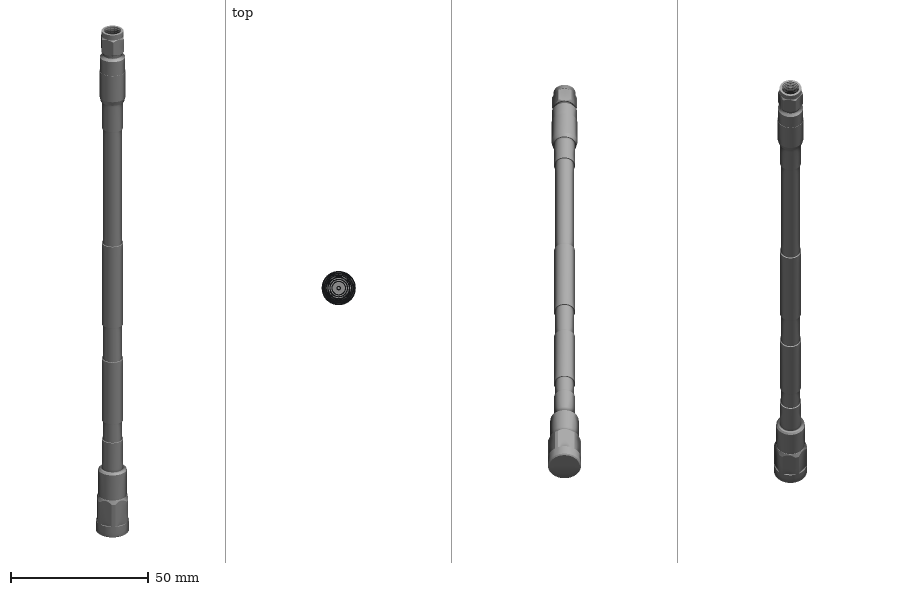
import cadquery as cq

TOTAL_LENGTH = 204.3

CABLE_DIAMETER = 7.0
SLEEVE_DIAMETER = 7.8
LOWER_SLEEVE_BOTTOM = 45.4
LOWER_SLEEVE_TOP = 70.5
UPPER_SLEEVE_BOTTOM = 84.5
UPPER_SLEEVE_TOP = 117.7

NUT_DIAMETER = 12.0
NUT_FLATS = 11.0
NUT_COLLAR_TOP = 4.5
NUT_CHAMFER = 0.5
NUT_HEX_TOP = 13.5
NUT_TOP = 15.0
NUT_TOP_DIAMETER = 10.6
LOWER_BARREL_DIAMETER = 10.5
LOWER_BARREL_TOP = 25.7
LOWER_BARREL_CHAMFER = 0.6
LOWER_BOOT_TOP = 37.5

UPPER_BOOT_BOTTOM = 164.7
UPPER_BARREL_DIAMETER = 9.5
UPPER_BARREL_BOTTOM = 175.7
UPPER_BARREL_END_DIAMETER = 8.5
UPPER_BARREL_TAPER_TOP = 177.4
UPPER_BARREL_SHOULDER = 188.0
UPPER_BARREL_TOP = 194.5
UPPER_COLLAR_DIAMETER = 9.2
UPPER_COLLAR_END_DIAMETER = 7.2
UPPER_COLLAR_TAPER_BOTTOM = 193.7
UPPER_NECK_DIAMETER = 7.0
UPPER_HEX_BOTTOM = 195.7
UPPER_HEX_TOP = 202.3
UPPER_HEX_FLATS = 8.0
UPPER_HEX_CORNERS = 9.0
UPPER_HEX_CHAMFER = 0.6
UPPER_RIM_DIAMETER = 8.0

SOCKET_DIAMETER = 6.3
SOCKET_DEPTH = 6.5
THREAD_ROOT_DIAMETER = 7.0
THREAD_PITCH = 0.8
THREAD_GROOVE_WIDTH = THREAD_PITCH / 2
THREAD_GROOVES = 6
INSULATOR_DIAMETER = 5.0
INSULATOR_HEIGHT = 0.8
PIN_DIAMETER = 1.2
PIN_HEIGHT = 1.6


def cylinder(diameter, bottom, top):
    """Round bar along Z between two heights."""
    return cq.Workplane("XY").workplane(offset=bottom).circle(diameter / 2).extrude(top - bottom)


def cone(bottom_diameter, top_diameter, bottom, top):
    """Tapered round section along Z between two heights."""
    solid = cq.Solid.makeCone(bottom_diameter / 2, top_diameter / 2, top - bottom, cq.Vector(0, 0, bottom))
    return cq.Workplane("XY").add(solid)


def hexagon(across_flats, bottom, top):
    """Hexagonal bar along Z with one pair of flats facing -X and +X."""
    return (
        cq.Workplane("XY")
        .workplane(offset=bottom)
        .polygon(6, across_flats, circumscribed=True)
        .extrude(top - bottom)
    )


def make_cable():
    """Cable running through both boots and ending against the two barrels."""
    return cylinder(CABLE_DIAMETER, LOWER_BARREL_TOP, UPPER_BARREL_BOTTOM)


def make_sleeve(bottom, top):
    """Tube around the cable."""
    return cylinder(SLEEVE_DIAMETER, bottom, top).cut(cylinder(CABLE_DIAMETER, bottom, top))


def make_lower_connector():
    """Boot, barrel and a coupling nut whose hexagon is rounded to the collar diameter."""
    collar = cylinder(NUT_DIAMETER, 0, NUT_COLLAR_TOP).faces("<Z").chamfer(NUT_CHAMFER)
    nut_round = cylinder(NUT_DIAMETER, NUT_COLLAR_TOP, NUT_HEX_TOP).union(
        cone(NUT_DIAMETER, NUT_TOP_DIAMETER, NUT_HEX_TOP, NUT_TOP)
    )
    nut = hexagon(NUT_FLATS, NUT_COLLAR_TOP, NUT_TOP).intersect(nut_round)
    barrel = cylinder(LOWER_BARREL_DIAMETER, NUT_TOP, LOWER_BARREL_TOP)
    barrel = barrel.faces(">Z").chamfer(LOWER_BARREL_CHAMFER)
    boot = make_sleeve(LOWER_BARREL_TOP, LOWER_BOOT_TOP)
    return collar.union(nut).union(barrel).union(boot)


def make_socket():
    """Space removed from the upper nut: a grooved bore around the insulator and pin."""
    floor = TOTAL_LENGTH - SOCKET_DEPTH
    socket = cylinder(SOCKET_DIAMETER, floor, TOTAL_LENGTH)
    for index in range(THREAD_GROOVES):
        groove_top = TOTAL_LENGTH - THREAD_GROOVE_WIDTH - index * THREAD_PITCH
        groove = cylinder(THREAD_ROOT_DIAMETER, groove_top - THREAD_GROOVE_WIDTH, groove_top)
        socket = socket.union(groove)
    insulator = cylinder(INSULATOR_DIAMETER, floor, floor + INSULATOR_HEIGHT)
    pin = cylinder(PIN_DIAMETER, floor, floor + PIN_HEIGHT)
    return socket.cut(insulator).cut(pin)


def make_upper_connector():
    """Boot, stepped barrel with tapered ends, neck and socketed hexagonal nut."""
    boot = make_sleeve(UPPER_BOOT_BOTTOM, UPPER_BARREL_BOTTOM)
    taper = cone(
        UPPER_BARREL_END_DIAMETER, UPPER_BARREL_DIAMETER, UPPER_BARREL_BOTTOM, UPPER_BARREL_TAPER_TOP
    )
    barrel = cylinder(UPPER_BARREL_DIAMETER, UPPER_BARREL_TAPER_TOP, UPPER_BARREL_SHOULDER).union(taper)
    collar_taper = cone(
        UPPER_COLLAR_DIAMETER, UPPER_COLLAR_END_DIAMETER, UPPER_COLLAR_TAPER_BOTTOM, UPPER_BARREL_TOP
    )
    collar = cylinder(UPPER_COLLAR_DIAMETER, UPPER_BARREL_SHOULDER, UPPER_COLLAR_TAPER_BOTTOM)
    collar = collar.union(collar_taper)
    neck = cylinder(UPPER_NECK_DIAMETER, UPPER_BARREL_TOP, UPPER_HEX_BOTTOM)
    hex_round = cylinder(UPPER_HEX_CORNERS, UPPER_HEX_BOTTOM, UPPER_HEX_TOP)
    hex_round = hex_round.edges("%CIRCLE").chamfer(UPPER_HEX_CHAMFER)
    nut = hexagon(UPPER_HEX_FLATS, UPPER_HEX_BOTTOM, UPPER_HEX_TOP).intersect(hex_round)
    rim = cylinder(UPPER_RIM_DIAMETER, UPPER_HEX_TOP, TOTAL_LENGTH)
    body = boot.union(barrel).union(collar).union(neck).union(nut).union(rim)
    return body.cut(make_socket())


cable = make_cable()
sleeve_spans = [
    (LOWER_SLEEVE_BOTTOM, LOWER_SLEEVE_TOP),
    (UPPER_SLEEVE_BOTTOM, UPPER_SLEEVE_TOP),
]
sleeves = [make_sleeve(bottom, top).val() for bottom, top in sleeve_spans]
lower_connector = make_lower_connector()
upper_connector = make_upper_connector()

result = cq.Compound.makeCompound([cable.val(), *sleeves, lower_connector.val(), upper_connector.val()])